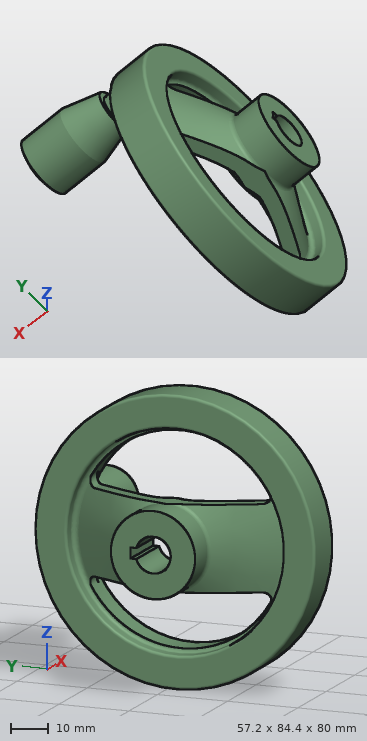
import cadquery as cq
import math


hub_radius = 12.0
hub_length = 16.0
bore_radius = 5.0
keyway_width = 3.0
keyway_reach = 6.4

rim_radius = 40.0
rim_front = 15.3
rim_back = 28.0
rim_front_inner_radius = 30.82
rim_back_inner_radius = 29.6
rim_edge_fillet = 0.8

web_slope = math.tan(math.radians(60))
web_front_at_hub = 9.5
web_back_at_hub = 14.3
web_front_hub_fillet = 1.4
web_back_hub_fillet = 0.9
web_rim_fillet = 1.2
spoke_width = 2 * hub_radius
opening_corner_radius = 2.0

handle_offset = (rim_radius + rim_front_inner_radius) / 2
handle_neck_radius = 4.32
handle_small_radius = 6.0
handle_radius = 9.0
handle_neck_end = 30.0
handle_taper_end = 41.2
handle_grip_end = 55.2
handle_tip = 57.22

AXIS_START = (0, 0, 0)
AXIS_END = (1, 0, 0)
EDGE_TOLERANCE = 0.01


def web_position(position_at_hub, radius):
    """Axial position of a conical web face at the given radius."""
    return position_at_hub + (radius - hub_radius) / web_slope


def fillet_circle(body, axial_position, radius, fillet_radius):
    """Round the circular edge lying at one axial position and radius."""
    def is_wanted(edge):
        if edge.geomType() != "CIRCLE":
            return False
        position_error = abs(edge.Center().x - axial_position)
        radius_error = abs(edge.radius() - radius)
        return max(position_error, radius_error) < EDGE_TOLERANCE

    return body.edges().filter(is_wanted).fillet(fillet_radius)


def make_wheel_blank():
    """Hub, full conical web and rim, revolved from one half section."""
    web_front_at_rim = web_position(web_front_at_hub, rim_front_inner_radius)
    web_back_at_rim = web_position(web_back_at_hub, rim_back_inner_radius)
    blank = (
        cq.Workplane("XY")
        .moveTo(0, 0)
        .lineTo(0, hub_radius)
        .lineTo(web_front_at_hub, hub_radius)
        .lineTo(web_front_at_rim, rim_front_inner_radius)
        .lineTo(rim_front, rim_front_inner_radius)
        .lineTo(rim_front, rim_radius)
        .lineTo(rim_back, rim_radius)
        .lineTo(rim_back, rim_back_inner_radius)
        .lineTo(web_back_at_rim, rim_back_inner_radius)
        .lineTo(web_back_at_hub, hub_radius)
        .lineTo(hub_length, hub_radius)
        .lineTo(hub_length, 0)
        .close()
        .revolve(360, AXIS_START, AXIS_END)
    )
    blank = fillet_circle(blank, web_front_at_hub, hub_radius, web_front_hub_fillet)
    blank = fillet_circle(blank, web_back_at_hub, hub_radius, web_back_hub_fillet)
    blank = fillet_circle(blank, web_front_at_rim, rim_front_inner_radius, web_rim_fillet)
    rim_edges = (
        (rim_front, rim_radius),
        (rim_front, rim_front_inner_radius),
        (rim_back, rim_radius),
        (rim_back, rim_back_inner_radius),
    )
    for axial_position, radius in rim_edges:
        blank = fillet_circle(blank, axial_position, radius, rim_edge_fillet)
    return blank


def make_openings():
    """Two circle segments that leave a straight spoke across the wheel."""
    disc = cq.Workplane("YZ").circle(rim_back_inner_radius).extrude(rim_back)
    spoke = cq.Workplane("YZ").rect(2 * rim_radius, spoke_width).extrude(rim_back)
    return disc.cut(spoke).edges("|X").fillet(opening_corner_radius)


def make_bore():
    """Through bore with a keyway on its +Y side."""
    bore = cq.Workplane("YZ").circle(bore_radius).extrude(hub_length)
    keyway = (
        cq.Workplane("YZ")
        .center(keyway_reach / 2, 0)
        .rect(keyway_reach, keyway_width)
        .extrude(hub_length)
    )
    return bore.union(keyway)


def make_handle():
    """Neck, tapered shoulder, cylindrical grip and domed end."""
    dome_height = handle_tip - handle_grip_end
    dome_radius = (handle_radius**2 + dome_height**2) / (2 * dome_height)
    half_angle = math.asin(handle_radius / dome_radius) / 2
    dome_middle = (
        handle_tip - dome_radius * (1 - math.cos(half_angle)),
        dome_radius * math.sin(half_angle),
    )
    neck_start = (rim_front + rim_back) / 2
    return (
        cq.Workplane("XY")
        .moveTo(neck_start, 0)
        .lineTo(neck_start, handle_neck_radius)
        .lineTo(handle_neck_end, handle_neck_radius)
        .lineTo(handle_neck_end, handle_small_radius)
        .lineTo(handle_taper_end, handle_radius)
        .lineTo(handle_grip_end, handle_radius)
        .threePointArc(dome_middle, (handle_tip, 0))
        .close()
        .revolve(360, AXIS_START, AXIS_END)
        .translate((0, handle_offset, 0))
    )


wheel = make_wheel_blank().cut(make_openings()).cut(make_bore())
result = wheel.union(make_handle())